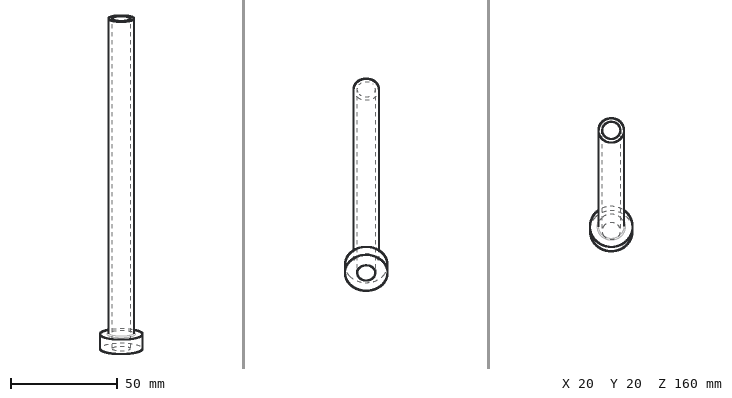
import cadquery as cq

total_length = 160.0
head_diameter = 20.0
head_height = 7.0
shank_diameter = 12.0
bore_diameter = 8.5
fillet_radius = 0.6

head_radius = head_diameter / 2
shank_radius = shank_diameter / 2
bore_radius = bore_diameter / 2

half_section = (
    cq.Workplane("XZ")
    .moveTo(bore_radius, 0)
    .lineTo(head_radius, 0)
    .lineTo(head_radius, head_height)
    .lineTo(shank_radius + fillet_radius, head_height)
    .radiusArc((shank_radius, head_height + fillet_radius), fillet_radius)
    .lineTo(shank_radius, total_length)
    .lineTo(bore_radius, total_length)
    .close()
)

result = half_section.revolve(360, (0, 0, 0), (0, 1, 0)).translate((0, 0, -total_length / 2))